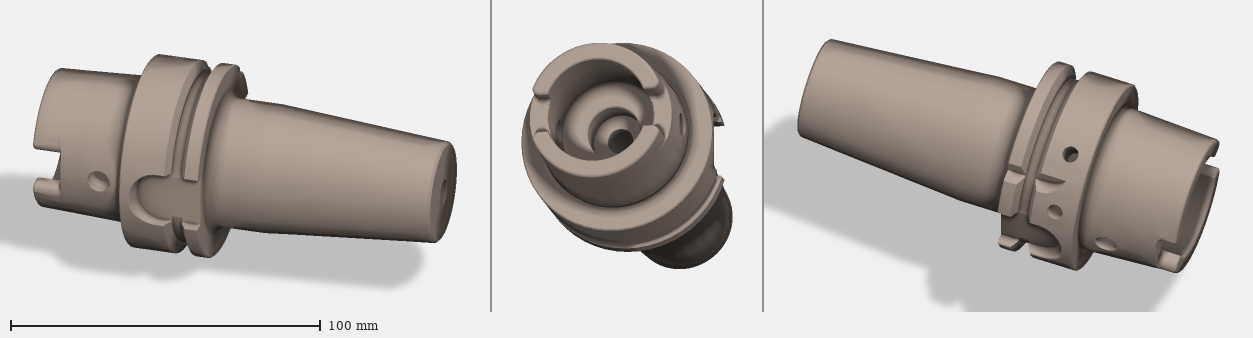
import cadquery as cq
import math


shank_length = 32.0
shank_large_radius = 24.1
shank_taper = 1 / 20
shank_mouth_round = 1.0
undercut_start = 2.0
shank_small_radius = shank_large_radius - (shank_length - undercut_start) * shank_taper
undercut_floor_start = 1.2
undercut_radius = 23.8
undercut_depth = 0.3
undercut_outer_radius = 24.6
undercut_mouth_radius = 25.35

flange_length = 26.0
flange_radius = 31.5
flange_edge_chamfer = 0.4

groove_center = 18.13
groove_floor_width = 3.6
groove_floor_radius = 27.5
groove_wall_radius = 28.7
groove_flank_angle = 30.0

nose_radius = 21.0
nose_end = 100.0
nose_cone_start = 43.0
nose_cone_angle = 4.5
nose_root_fillet = 3.0
nose_tip_chamfer = 0.8

clamp_bore_radius = 17.0
clamp_bore_end = -4.0
clamp_bore_round = 1.2
bore_edge_chamfer = 0.4
tube_bore_radius = 8.7
tube_bore_depth = 10.0
coolant_hole_radius = 4.2

keyway_half_width = 6.1
keyway_front_depth = 10.0
keyway_back_depth = 6.2
keyway_corner_radius = 1.5
keyway_lip_round = 2.5
keyway_lip_clearance = 0.25
keyway_flare_length = 6.0

cross_hole_x = -9.0
cross_hole_radius = 3.75

slot_half_width = 9.0
slot_floor = 26.5
slot_floor_start = 5.2
slot_corner_radius = 8.0
slot_rise_margin = 1.0
slot_rim_chamfer = 0.3
slot_end_lean = 0.35

notch_corner = 20.0
notch_floor_start = 13.1
notch_runout_radius = 8.0

radial_hole_x = 7.2
radial_hole_radius = 2.6
radial_hole_bottom = 19.0
radial_hole_angles = (23.7, 60.0)

match_tolerance = 0.01


def make_body():
    """Solid of revolution: shank, undercut, flange with groove, and nose."""
    groove_start = groove_center - groove_floor_width / 2
    groove_end = groove_center + groove_floor_width / 2
    flank_run = (flange_radius - groove_wall_radius) * math.tan(math.radians(groove_flank_angle))
    flange_rim = flange_radius - flange_edge_chamfer
    cone_drop = math.tan(math.radians(nose_cone_angle))
    tip_start = nose_end - nose_tip_chamfer
    tip_radius = nose_radius - (tip_start - nose_cone_start) * cone_drop
    fillet_dip = nose_root_fillet * (1 - math.sqrt(0.5))
    profile = (
        cq.Workplane("XY")
        .moveTo(-shank_length, 0)
        .lineTo(-shank_length, shank_small_radius)
        .lineTo(-undercut_start, shank_large_radius)
        .lineTo(-undercut_floor_start, undercut_radius)
        .lineTo(undercut_depth, undercut_radius)
        .lineTo(undercut_depth, undercut_outer_radius)
        .lineTo(0, undercut_mouth_radius)
        .lineTo(0, flange_rim)
        .lineTo(flange_edge_chamfer, flange_radius)
        .lineTo(groove_start - flank_run, flange_radius)
        .lineTo(groove_start, groove_wall_radius)
        .lineTo(groove_start, groove_floor_radius)
        .lineTo(groove_end, groove_floor_radius)
        .lineTo(groove_end, groove_wall_radius)
        .lineTo(groove_end + flank_run, flange_radius)
        .lineTo(flange_length - flange_edge_chamfer, flange_radius)
        .lineTo(flange_length, flange_rim)
        .lineTo(flange_length, nose_radius + nose_root_fillet)
        .threePointArc(
            (flange_length + fillet_dip, nose_radius + fillet_dip),
            (flange_length + nose_root_fillet, nose_radius),
        )
        .lineTo(nose_cone_start, nose_radius)
        .lineTo(tip_start, tip_radius)
        .lineTo(nose_end, tip_radius - nose_tip_chamfer)
        .lineTo(nose_end, 0)
        .close()
    )
    return profile.revolve(360, (0, 0, 0), (1, 0, 0))


def make_edge_chamfer(x, radius):
    """Cone that breaks the edge of a bore of the given radius where it opens at x."""
    return (
        cq.Workplane("XY")
        .moveTo(x, 0)
        .lineTo(x, radius + bore_edge_chamfer)
        .lineTo(x + bore_edge_chamfer, radius)
        .lineTo(x + bore_edge_chamfer, 0)
        .close()
        .revolve(360, (0, 0, 0), (1, 0, 0))
    )


def make_bores():
    """Clamping bore with a rounded floor edge, coolant tube bore and through hole."""
    clamp_depth = shank_length + clamp_bore_end
    mouth = cq.Workplane("YZ").workplane(offset=-shank_length)
    clamp_bore = mouth.circle(clamp_bore_radius).extrude(clamp_depth)
    clamp_bore = clamp_bore.faces(">X").edges().fillet(clamp_bore_round)
    tube_bore = mouth.circle(tube_bore_radius).extrude(clamp_depth + tube_bore_depth)
    coolant_hole = mouth.circle(coolant_hole_radius).extrude(shank_length + nose_end)
    return (
        clamp_bore.union(tube_bore)
        .union(coolant_hole)
        .union(make_edge_chamfer(clamp_bore_end, tube_bore_radius))
    )


def make_keyway(depth):
    """Keyway on the +Y side whose walls flare out, through a lip arc, into the shank surface."""
    lip_reach = shank_small_radius + keyway_lip_clearance
    lip_z = keyway_half_width + keyway_lip_round
    lip_y = math.sqrt((lip_reach - keyway_lip_round) ** 2 - lip_z**2)
    tangent_angle = math.atan2(lip_z, lip_y)
    tangent_y = lip_reach * math.cos(tangent_angle)
    tangent_z = lip_reach * math.sin(tangent_angle)
    middle_angle = (tangent_angle - math.pi / 2) / 2
    middle_y = lip_y + keyway_lip_round * math.cos(middle_angle)
    middle_z = lip_z + keyway_lip_round * math.sin(middle_angle)
    outer_y = tangent_y - keyway_flare_length * math.sin(tangent_angle)
    outer_z = tangent_z + keyway_flare_length * math.cos(tangent_angle)
    outline = (
        cq.Workplane("YZ")
        .workplane(offset=-shank_length)
        .moveTo(0, keyway_half_width)
        .lineTo(lip_y, keyway_half_width)
        .threePointArc((middle_y, middle_z), (tangent_y, tangent_z))
        .lineTo(outer_y, outer_z)
        .lineTo(flange_radius, outer_z)
        .lineTo(flange_radius, -outer_z)
        .lineTo(outer_y, -outer_z)
        .lineTo(tangent_y, -tangent_z)
        .threePointArc((middle_y, -middle_z), (lip_y, -keyway_half_width))
        .lineTo(0, -keyway_half_width)
        .close()
    )
    wall_ends = cq.selectors.BoxSelector(
        (-shank_length, match_tolerance, -outer_z + match_tolerance),
        (0, tangent_y + match_tolerance, outer_z - match_tolerance),
    )
    keyway = outline.extrude(depth).faces(">X").edges(wall_ends).fillet(keyway_corner_radius)
    end_face_half_width = keyway_half_width - keyway_corner_radius
    end_face_zone = cq.Workplane("XY").box(
        2 * shank_length,
        flange_radius,
        2 * end_face_half_width,
        centered=(True, False, True),
    )
    end_chamfer = make_edge_chamfer(depth - shank_length, clamp_bore_radius).intersect(end_face_zone)
    return keyway.union(end_chamfer)


def round_shank_mouth(body):
    """Round the edges of the two lugs at the shank mouth, leaving the bore edge sharp."""
    rims = body.faces("<X").edges()
    lug_edges = []
    for edge in rims.vals():
        on_bore = edge.geomType() == "CIRCLE" and abs(edge.radius() - clamp_bore_radius) < match_tolerance
        if not on_bore:
            lug_edges.append(edge)
    return body.newObject(lug_edges).fillet(shank_mouth_round)


def make_drive_slot():
    """Slot on the +Y side, open toward the nose, with a leaning end and rounded corners."""
    floor = (
        cq.Workplane("XZ", origin=(0, slot_floor, 0))
        .moveTo(slot_floor_start, -slot_half_width)
        .lineTo(flange_length + slot_corner_radius, -slot_half_width)
        .lineTo(flange_length + slot_corner_radius, slot_half_width)
        .lineTo(slot_floor_start, slot_half_width)
        .close()
        .extrude(-1)
        .edges("<X and |Y")
        .fillet(slot_corner_radius)
        .faces("<Y")
        .val()
    )
    rise = flange_radius - slot_floor + slot_rise_margin
    return cq.Workplane(cq.Solid.extrudeLinear(floor, cq.Vector(-slot_end_lean * rise, rise, 0)))


def chamfer_slot_rims(body):
    """Break the edges where the drive slots open on the outside of the flange."""
    rim_edges = []
    for edge in body.edges().vals():
        sample_points = [edge.positionAt(place) for place in (0, 0.25, 0.5, 0.75, 1)]
        on_outside = all(
            abs(math.hypot(point.y, point.z) - flange_radius) < match_tolerance for point in sample_points
        )
        around_axis = edge.geomType() == "CIRCLE"
        flange_seam = edge.geomType() == "LINE" and abs(sample_points[0].z) < match_tolerance
        if on_outside and not around_axis and not flange_seam:
            rim_edges.append(edge)
    return body.newObject(rim_edges).chamfer(slot_rim_chamfer)


def make_notch():
    """Square-cornered notch along X whose floor runs out through an arc at its closed end."""
    top = flange_radius
    runout_rise = top - notch_corner
    runout_start = notch_floor_start - notch_runout_radius
    arc_dip = notch_runout_radius * math.sqrt(0.5)
    arc_center_z = notch_corner + notch_runout_radius
    return (
        cq.Workplane("XZ", origin=(0, notch_corner, 0))
        .moveTo(notch_floor_start, notch_corner)
        .threePointArc((notch_floor_start - arc_dip, arc_center_z - arc_dip), (runout_start, arc_center_z))
        .lineTo(runout_start, top)
        .lineTo(flange_length, top)
        .lineTo(flange_length, notch_corner)
        .close()
        .extrude(-runout_rise)
    )


def make_radial_hole(angle):
    """Blind radial hole, drilled toward the axis at an angle measured from +Z toward +Y."""
    return (
        cq.Workplane("XY", origin=(radial_hole_x, 0, radial_hole_bottom))
        .circle(radial_hole_radius)
        .extrude(flange_radius - radial_hole_bottom)
        .rotate((0, 0, 0), (1, 0, 0), -angle)
    )


def make_cross_hole():
    """Hole along Y through both walls of the shank."""
    return (
        cq.Workplane("XZ", origin=(cross_hole_x, 0, 0))
        .circle(cross_hole_radius)
        .extrude(flange_radius, both=True)
    )


def to_front(shape):
    """Turn a cutter made on the +Y side around to the -Y side."""
    return shape.rotate((0, 0, 0), (1, 0, 0), 180)


body = make_body().cut(make_bores())
body = body.cut(make_keyway(keyway_back_depth)).cut(to_front(make_keyway(keyway_front_depth)))
body = round_shank_mouth(body)
body = body.cut(make_edge_chamfer(-shank_length, clamp_bore_radius))
body = body.cut(make_cross_hole())
body = body.cut(make_drive_slot()).cut(to_front(make_drive_slot()))
body = chamfer_slot_rims(body)
body = body.cut(make_notch())
for hole_angle in radial_hole_angles:
    body = body.cut(make_radial_hole(hole_angle))

result = body